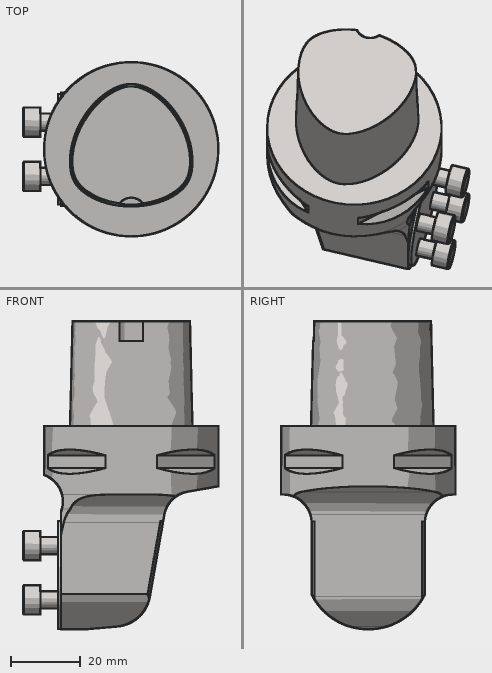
import cadquery as cq
import math

shank_height = 30.0
shank_base_radius = 17.6
shank_top_radius = 16.9
lobe_offset = 1.15
section_points = 36
key_radius = 4.15
key_center_y = -18.0
key_depth = 5.65

flange_radius = 25.0
flange_bottom = -19.7
waist_radius = 24.55
waist_z = -23.75
cone_angle = 10.0

slot_floor_distance = 22.1
slot_floor_width = 3.5
slot_mouth_width = 7.0
slot_z = -10.2

arm_bottom = -58.3
arm_face_x = -20.1
arm_half_width = 16.25
arm_end_radius = 18.1
relief_radius = 8.0
groove_center_x = -27.6
groove_center_z = -21.6
back_angle = 10.0
back_rim_z = -17.3
back_base_x = 3.7
back_top_z = -27.4
back_chamfer = 0.8
heel_radius = 10.6
heel_start_x = -13.1
heel_angle = 5.0

plate_radius = 15.9
plate_thickness = 0.9
plate_flat_height = 15.1
plate_clearance = 0.1
screw_spacing = 15.5
screw_center_z = -42.0
screw_stem_diameter = 5.0
head_diameter = 8.5
head_length = 4.95
head_chamfer = 0.35
screw_tip_x = -31.0

plate_center_z = arm_bottom + plate_radius + plate_clearance
margin = 8.8


def lobed_section(plane, radius):
    """Add a smooth three-lobed closed curve with one lobe pointing to +Y."""
    points = []
    for step in range(section_points):
        a = 2 * math.pi * step / section_points
        across = radius * math.sin(a) - lobe_offset * (2 * math.sin(2 * a) + math.sin(4 * a))
        along = radius * math.cos(a) + lobe_offset * (2 * math.cos(2 * a) - math.cos(4 * a))
        points.append((across, along))
    return plane.spline(points, periodic=True).close()


def make_shank():
    base = lobed_section(cq.Workplane("XY"), shank_base_radius)
    top_plane = base.workplane(origin=(0, 0, 0), offset=shank_height)
    shank = lobed_section(top_plane, shank_top_radius).loft(ruled=True)
    key = (
        cq.Workplane("XY", origin=(0, key_center_y, shank_height - key_depth))
        .circle(key_radius)
        .extrude(key_depth)
    )
    return shank.cut(key)


def make_envelope():
    """Turned blank: cylinder, slight waist, then a cone opening downwards."""
    cone_radius = waist_radius + (waist_z - arm_bottom) * math.tan(math.radians(cone_angle))
    return (
        cq.Workplane("XZ")
        .polyline([
            (0, 0),
            (flange_radius, 0),
            (flange_radius, flange_bottom),
            (waist_radius, waist_z),
            (cone_radius, arm_bottom),
            (0, arm_bottom),
        ])
        .close()
        .revolve(360, (0, 0, 0), (0, 1, 0))
    )


def make_side_profile():
    """XZ outline: relief groove at -X, leaning back face and rounded heel at +X."""
    lean = math.tan(math.radians(back_angle))
    heel_rise = math.tan(math.radians(heel_angle))
    reach = flange_radius + margin

    underside_start = back_rim_z - lean * flange_radius
    corner_x = (back_base_x + lean * (underside_start - arm_bottom)) / (1 - lean**2)
    corner_z = underside_start + lean * corner_x
    heel_x = (back_base_x - lean * heel_rise * heel_start_x) / (1 - lean * heel_rise)
    heel_z = arm_bottom + heel_rise * (heel_x - heel_start_x)

    groove_end_z = groove_center_z - math.sqrt(
        relief_radius**2 - (arm_face_x - groove_center_x) ** 2
    )
    groove_top_z = groove_center_z + relief_radius

    profile = (
        cq.Workplane("XZ")
        .moveTo(-reach, 0)
        .lineTo(reach, 0)
        .lineTo(reach, underside_start + lean * reach)
        .lineTo(corner_x, corner_z)
        .lineTo(heel_x, heel_z)
        .lineTo(heel_start_x, arm_bottom)
        .lineTo(arm_face_x, arm_bottom)
        .lineTo(arm_face_x, groove_end_z)
        .threePointArc(
            (groove_center_x + relief_radius, groove_center_z),
            (groove_center_x, groove_top_z),
        )
        .lineTo(-reach, groove_top_z)
        .close()
        .extrude(reach, both=True)
    )

    def round_corner(body, x, z, radius):
        corner = cq.selectors.NearestToPointSelector((x, 0, z))
        return body.edges("|Y").edges(corner).fillet(radius)

    profile = round_corner(profile, corner_x, corner_z, relief_radius)
    return round_corner(profile, heel_x, heel_z, heel_radius)


def make_front_profile():
    """YZ outline: full flange width, concave shoulders and a round lower end."""
    reach = flange_radius + margin
    shoulder_y = arm_half_width + relief_radius
    shoulder_z = flange_bottom - relief_radius
    diagonal = relief_radius * math.sqrt(0.5)
    end_center_z = arm_bottom + arm_end_radius
    end_z = end_center_z - math.sqrt(arm_end_radius**2 - arm_half_width**2)
    return (
        cq.Workplane("YZ")
        .moveTo(-reach, 0)
        .lineTo(reach, 0)
        .lineTo(reach, flange_bottom)
        .lineTo(shoulder_y, flange_bottom)
        .threePointArc(
            (shoulder_y - diagonal, shoulder_z + diagonal),
            (arm_half_width, shoulder_z),
        )
        .lineTo(arm_half_width, end_z)
        .threePointArc((0, arm_bottom), (-arm_half_width, end_z))
        .lineTo(-arm_half_width, shoulder_z)
        .threePointArc(
            (diagonal - shoulder_y, shoulder_z + diagonal),
            (-shoulder_y, flange_bottom),
        )
        .lineTo(-reach, flange_bottom)
        .close()
        .extrude(reach, both=True)
    )


def make_back_chamfer(side):
    """Wedge along one upright edge of the leaning back face; side is -1 or 1."""
    length = (back_top_z - arm_bottom) / math.cos(math.radians(back_angle))
    return (
        cq.Workplane("XY")
        .polyline([
            (-2 * back_chamfer, side * (arm_half_width + back_chamfer)),
            (back_chamfer, side * (arm_half_width - 2 * back_chamfer)),
            (back_chamfer, side * (arm_half_width + back_chamfer)),
        ])
        .close()
        .extrude(length)
        .rotate((0, 0, 0), (0, 1, 0), back_angle)
        .translate((back_base_x, 0, arm_bottom))
    )


def make_gripper_slot(angle):
    """Flat-bottomed slot with flared walls, cut across the flange rim."""
    floor_half = slot_floor_width / 2
    depth = flange_radius - slot_floor_distance
    outer_half = floor_half + (slot_mouth_width - slot_floor_width) / 2 * (depth + margin) / depth
    outer_x = flange_radius + margin
    return (
        cq.Workplane("XZ")
        .polyline([
            (slot_floor_distance, slot_z - floor_half),
            (outer_x, slot_z - outer_half),
            (outer_x, slot_z + outer_half),
            (slot_floor_distance, slot_z + floor_half),
        ])
        .close()
        .extrude(flange_radius, both=True)
        .rotate((0, 0, 0), (0, 0, 1), angle)
    )


def make_plate():
    """Round plate on the arm face, cut flat along its upper edge."""
    plate_x = arm_face_x - plate_thickness
    disc = (
        cq.Workplane("YZ", origin=(plate_x, 0, plate_center_z))
        .circle(plate_radius)
        .extrude(plate_thickness)
    )
    above_flat = (
        cq.Workplane("XY", origin=(plate_x, 0, plate_center_z + plate_flat_height))
        .rect(2 * margin, 2 * plate_radius)
        .extrude(plate_radius)
    )
    return disc.cut(above_flat)


def make_screws():
    grid = (screw_spacing, screw_spacing, 2, 2)
    heads = (
        cq.Workplane("YZ", origin=(screw_tip_x, 0, screw_center_z))
        .rarray(*grid)
        .circle(head_diameter / 2)
        .extrude(head_length)
        .faces("<X")
        .chamfer(head_chamfer)
    )
    stems = (
        cq.Workplane("YZ", origin=(screw_tip_x, 0, screw_center_z))
        .rarray(*grid)
        .circle(screw_stem_diameter / 2)
        .extrude(arm_face_x - screw_tip_x)
    )
    return heads.union(stems)


body = make_envelope().intersect(make_side_profile()).intersect(make_front_profile())
for side in (-1, 1):
    body = body.cut(make_back_chamfer(side))
for angle in (45, 135, 225, 315):
    body = body.cut(make_gripper_slot(angle))

result = body.union(make_shank()).union(make_plate()).union(make_screws())